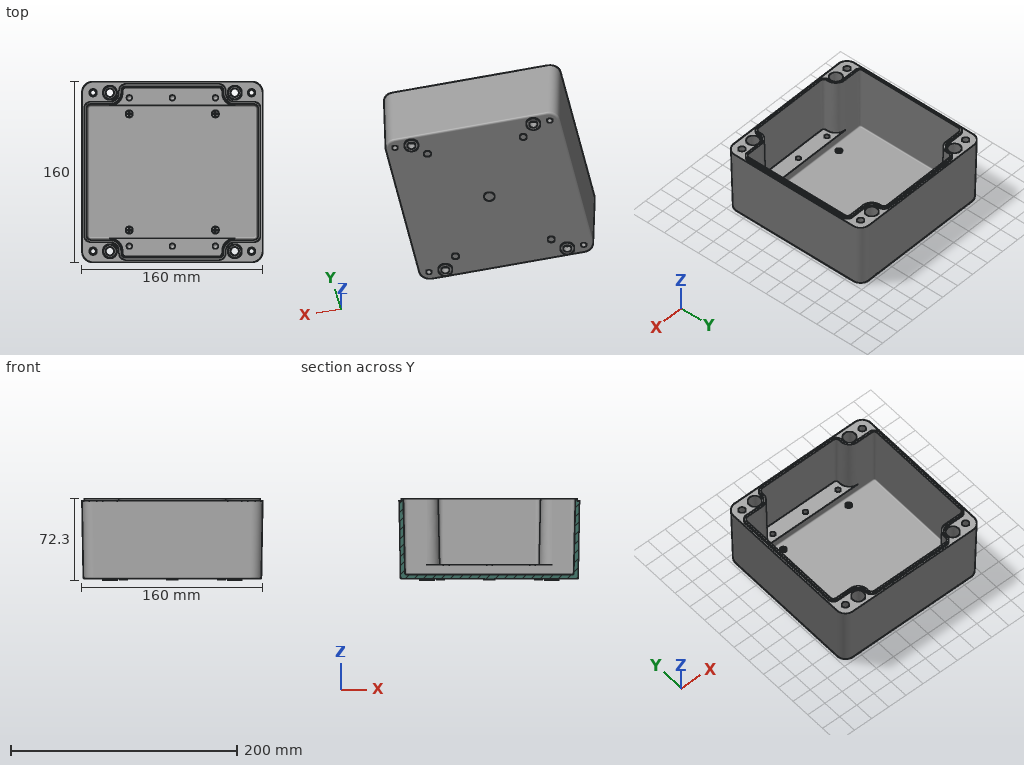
import cadquery as cq
import math

SIDE = 160.0
HEIGHT = 72.3
RIM_HEIGHT = 2.0
FOOT_HEIGHT = 1.3
DRAFT_DEG = 1.0
CORNER_RADIUS = 10.0
BASE_FILLET = 2.0

BASE_Z = FOOT_HEIGHT
SHOULDER_Z = HEIGHT - RIM_HEIGHT

SCREW_INSET = 10.0
SCREW_Y = SIDE / 2 - SCREW_INSET
LID_SCREW_X = SIDE / 2 - SCREW_INSET
CASE_SCREW_X = 55.2
POST_RADIUS = 8.0
CASE_BORE_DIAMETER = 12.6
CASE_BORE_DRAFT_DEG = 0.6
CASE_BORE_FLOOR_Z = 8.0
CASE_HOLE_DIAMETER = 7.2
LID_BORE_DIAMETER = 6.7
LID_BORE_DEPTH = 32.0
LID_HOLE_DIAMETER = 5.0

RIM_INSET = 2.0
RIM_WIDTH = 2.0
RIM_CORNER_RADIUS = 5.8
SHELF_CORNER_RADIUS = 6.2
CAVITY_DRAFT_DEG = 1.3
FLOOR_THICKNESS = 4.0
FLOOR_FILLET = 1.3
SHELF_HEIGHT = 8.3

RIM_EDGE = SIDE / 2 - RIM_INSET
NOTCH_X = CASE_SCREW_X - POST_RADIUS
NOTCH_Y = SCREW_Y - POST_RADIUS
FLOOR_Z = BASE_Z + FLOOR_THICKNESS
SHELF_Z = FLOOR_Z + SHELF_HEIGHT

MOUNT_SPACING = 38.0
SHELF_HOLE_Y = 65.6
SHELF_HOLE_DIAMETER = 5.0
SHELF_HOLE_DEPTH = 6.4
DRILL_POINT_DEG = 118.0
FLOOR_RECESS_Y = 51.4
FLOOR_RECESS_DIAMETER = 6.4
FLOOR_RECESS_DEPTH = 0.3
CROSS_SLOT_WIDTH = 1.0
CROSS_SLOT_LENGTH = 5.8
CROSS_SLOT_DEPTH = 0.6

FOOT_DIAMETER = 12.6
PAD_HEIGHT = 0.6
SMALL_PAD_DIAMETER = 6.5
SMALL_PAD_X = 43.4
SMALL_PAD_Y = 57.8
CENTER_PAD_DIAMETER = 9.6


def mirrored(x, y):
    """The four points (+-x, +-y)."""
    return [(sx * x, sy * y) for sx in (-1, 1) for sy in (-1, 1)]


def cylinders(points, z, diameter, height):
    """Upright cylinders standing on height z."""
    return cq.Workplane("XY", origin=(0, 0, z)).pushPoints(points).circle(diameter / 2).extrude(height)


def unit_toward(start, end):
    """Unit vector from one point to another."""
    length = math.dist(start, end)
    return (end[0] - start[0]) / length, (end[1] - start[1]) / length


def rim_outline(z, inset):
    """Closed rim outline moved inward by inset: a rounded square, notched around the corner posts."""
    edge = RIM_EDGE - inset
    notch_x = NOTCH_X - inset
    notch_y = NOTCH_Y - inset
    quadrant = [
        (edge, notch_y, RIM_CORNER_RADIUS - inset),
        (notch_x, notch_y, POST_RADIUS + inset),
        (notch_x, edge, SHELF_CORNER_RADIUS - inset),
    ]
    corners = list(quadrant)
    corners += [(-x, y, r) for x, y, r in reversed(quadrant)]
    corners += [(-x, -y, r) for x, y, r in quadrant]
    corners += [(x, -y, r) for x, y, r in reversed(quadrant)]

    outline = cq.Workplane("XY", origin=(0, 0, z))
    for i, (x, y, radius) in enumerate(corners):
        back_x, back_y = unit_toward((x, y), corners[i - 1][:2])
        ahead_x, ahead_y = unit_toward((x, y), corners[(i + 1) % len(corners)][:2])
        middle = radius * (1 - math.sqrt(0.5))
        start = (x + radius * back_x, y + radius * back_y)
        between = (x + middle * (back_x + ahead_x), y + middle * (back_y + ahead_y))
        end = (x + radius * ahead_x, y + radius * ahead_y)
        outline = outline.moveTo(*start) if i == 0 else outline.lineTo(*start)
        outline = outline.threePointArc(between, end)
    return outline.close()


def outer_body():
    """Drafted box with constant corner radius, a rounded underside and the rim on top."""
    body = (cq.Workplane("XY", origin=(0, 0, SHOULDER_Z))
            .rect(SIDE, SIDE)
            .extrude(BASE_Z - SHOULDER_Z, taper=DRAFT_DEG))
    body = body.edges("not #Z").fillet(CORNER_RADIUS)
    body = body.faces("<Z").edges().fillet(BASE_FILLET)
    return body.union(rim_outline(SHOULDER_Z, 0).extrude(RIM_HEIGHT))


def cavity():
    """Drafted interior: the full notched outline above the shelves, only its wide part down to the floor."""
    interior = rim_outline(HEIGHT, RIM_WIDTH).extrude(FLOOR_Z - HEIGHT, taper=CAVITY_DRAFT_DEG)
    between_shelves = (cq.Workplane("XY", origin=(0, 0, HEIGHT))
                       .rect(2 * SIDE, 2 * (NOTCH_Y - RIM_WIDTH))
                       .extrude(FLOOR_Z - HEIGHT, taper=CAVITY_DRAFT_DEG))
    above_shelves = (cq.Workplane("XY", origin=(0, 0, SHELF_Z))
                     .rect(2 * SIDE, 2 * SIDE)
                     .extrude(HEIGHT - SHELF_Z))
    interior = interior.intersect(between_shelves.union(above_shelves))
    return interior.faces("<Z").edges().fillet(FLOOR_FILLET)


def pads():
    """Feet under the case screws, with lower pads further in."""
    feet = cylinders(mirrored(CASE_SCREW_X, SCREW_Y), 0, FOOT_DIAMETER, FOOT_HEIGHT)
    pad_z = BASE_Z - PAD_HEIGHT
    small = cylinders(mirrored(SMALL_PAD_X, SMALL_PAD_Y), pad_z, SMALL_PAD_DIAMETER, PAD_HEIGHT)
    center = cylinders([(0, 0)], pad_z, CENTER_PAD_DIAMETER, PAD_HEIGHT)
    return feet.union(small).union(center)


def screw_holes():
    """Stepped through holes for the case screws and the lid screws."""
    case_points = mirrored(CASE_SCREW_X, SCREW_Y)
    case_bores = (cq.Workplane("XY", origin=(0, 0, SHOULDER_Z))
                  .pushPoints(case_points)
                  .circle(CASE_BORE_DIAMETER / 2)
                  .extrude(CASE_BORE_FLOOR_Z - SHOULDER_Z, taper=CASE_BORE_DRAFT_DEG))
    case_holes = cylinders(case_points, 0, CASE_HOLE_DIAMETER, SHOULDER_Z)

    lid_points = mirrored(LID_SCREW_X, SCREW_Y)
    lid_bores = cylinders(lid_points, SHOULDER_Z, LID_BORE_DIAMETER, -LID_BORE_DEPTH)
    lid_holes = cylinders(lid_points, 0, LID_HOLE_DIAMETER, SHOULDER_Z)
    return case_bores.union(case_holes).union(lid_bores).union(lid_holes)


def shelf_holes():
    """Blind drilled holes, three along each shelf."""
    radius = SHELF_HOLE_DIAMETER / 2
    tip_height = radius / math.tan(math.radians(DRILL_POINT_DEG / 2))
    tip_z = -SHELF_HOLE_DEPTH - tip_height
    drill = (cq.Workplane("XZ")
             .polyline([(0, 0), (radius, 0), (radius, -SHELF_HOLE_DEPTH), (0, tip_z)])
             .close()
             .revolve(360, (0, 0), (0, 1)))
    holes = cq.Workplane("XY")
    for y in (-SHELF_HOLE_Y, SHELF_HOLE_Y):
        for step in (-1, 0, 1):
            holes = holes.add(drill.translate((step * MOUNT_SPACING, y, SHELF_Z)))
    return holes.combine()


def floor_recesses():
    """Shallow round recesses in the floor, each with a cross slot in its bottom."""
    points = mirrored(MOUNT_SPACING, FLOOR_RECESS_Y)
    discs = cylinders(points, FLOOR_Z, FLOOR_RECESS_DIAMETER, -FLOOR_RECESS_DEPTH)
    slot_plane = cq.Workplane("XY", origin=(0, 0, FLOOR_Z - FLOOR_RECESS_DEPTH)).pushPoints(points)
    along_x = slot_plane.rect(CROSS_SLOT_LENGTH, CROSS_SLOT_WIDTH).extrude(-CROSS_SLOT_DEPTH)
    along_y = slot_plane.rect(CROSS_SLOT_WIDTH, CROSS_SLOT_LENGTH).extrude(-CROSS_SLOT_DEPTH)
    return discs.union(along_x).union(along_y)


result = (outer_body()
          .union(pads())
          .cut(cavity())
          .cut(screw_holes())
          .cut(shelf_holes())
          .cut(floor_recesses()))